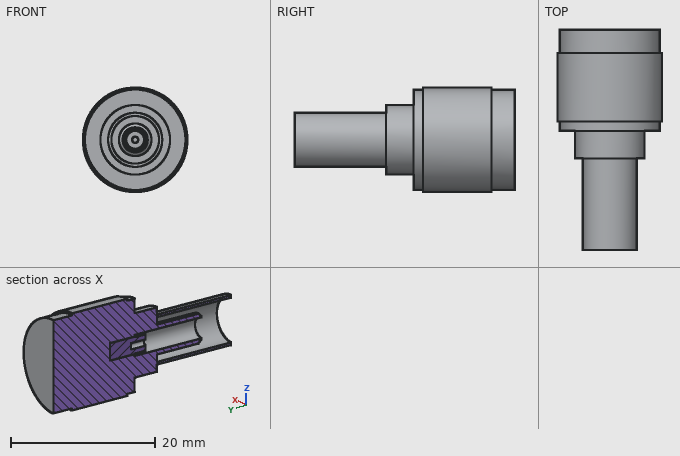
import cadquery as cq


SLEEVE_RADIUS = 3.75
SLEEVE_BORE_RADIUS = 3.3
SLEEVE_LENGTH = 12.72

TOTAL_LENGTH = 30.58
COLLAR_RADIUS = 4.83
RIM_RADIUS = 6.97
GRIP_RADIUS = 7.263
COLLAR_LENGTH = 3.8
REAR_RIM_LENGTH = 1.28
FRONT_RIM_LENGTH = 3.25

SPIGOT_RADIUS = 2.25
SPIGOT_TIP_RADIUS = 1.75
SPIGOT_TAPER_LENGTH = SPIGOT_RADIUS - SPIGOT_TIP_RADIUS
SPIGOT_LENGTH = 7.65
SPIGOT_BORE_RADIUS = 1.53

CONTACT_RADIUS = 1.25
CONTACT_LENGTH = 6.12
CONTACT_PROJECTION = 1.85
CUP_RADIUS = 0.43
CUP_DEPTH = 2.45

SHOULDER_Y = SLEEVE_LENGTH + COLLAR_LENGTH
GRIP_START_Y = SHOULDER_Y + REAR_RIM_LENGTH
GRIP_END_Y = TOTAL_LENGTH - FRONT_RIM_LENGTH
SPIGOT_TIP_Y = SLEEVE_LENGTH - SPIGOT_LENGTH
BORE_FLOOR_Y = SHOULDER_Y
CONTACT_START_Y = BORE_FLOOR_Y - CONTACT_PROJECTION


def cylinder(radius, start_y, end_y):
    """Solid cylinder along +Y between two positions."""
    plane = cq.Plane(origin=(0, start_y, 0), xDir=(1, 0, 0), normal=(0, 1, 0))
    return cq.Workplane(plane).circle(radius).extrude(end_y - start_y)


def make_sleeve():
    """Plain tube that butts against the shell collar."""
    tube = cylinder(SLEEVE_RADIUS, 0, SLEEVE_LENGTH)
    return tube.cut(cylinder(SLEEVE_BORE_RADIUS, 0, SLEEVE_LENGTH))


def make_shell():
    """Stepped shell with a spigot, a cable bore and a seat for the contact."""
    outline = [
        (0, SPIGOT_TIP_Y),
        (SPIGOT_TIP_RADIUS, SPIGOT_TIP_Y),
        (SPIGOT_RADIUS, SPIGOT_TIP_Y + SPIGOT_TAPER_LENGTH),
        (SPIGOT_RADIUS, SLEEVE_LENGTH),
        (COLLAR_RADIUS, SLEEVE_LENGTH),
        (COLLAR_RADIUS, SHOULDER_Y),
        (RIM_RADIUS, SHOULDER_Y),
        (RIM_RADIUS, GRIP_START_Y),
        (GRIP_RADIUS, GRIP_START_Y),
        (GRIP_RADIUS, GRIP_END_Y),
        (RIM_RADIUS, GRIP_END_Y),
        (RIM_RADIUS, TOTAL_LENGTH),
        (0, TOTAL_LENGTH),
    ]
    shell = cq.Workplane("XY").polyline(outline).close().revolve(360, (0, 0, 0), (0, 1, 0))
    cable_bore = cylinder(SPIGOT_BORE_RADIUS, SPIGOT_TIP_Y, BORE_FLOOR_Y)
    contact_seat = cylinder(CONTACT_RADIUS, BORE_FLOOR_Y, CONTACT_START_Y + CONTACT_LENGTH)
    return shell.cut(cable_bore).cut(contact_seat)


def make_contact():
    """Round contact, seated in the shell and projecting into the cable bore."""
    contact = cylinder(CONTACT_RADIUS, CONTACT_START_Y, CONTACT_START_Y + CONTACT_LENGTH)
    return contact.cut(cylinder(CUP_RADIUS, CONTACT_START_Y, CONTACT_START_Y + CUP_DEPTH))


sleeve = make_sleeve()
shell = make_shell()
contact = make_contact()
result = cq.Compound.makeCompound([sleeve.val(), shell.val(), contact.val()])